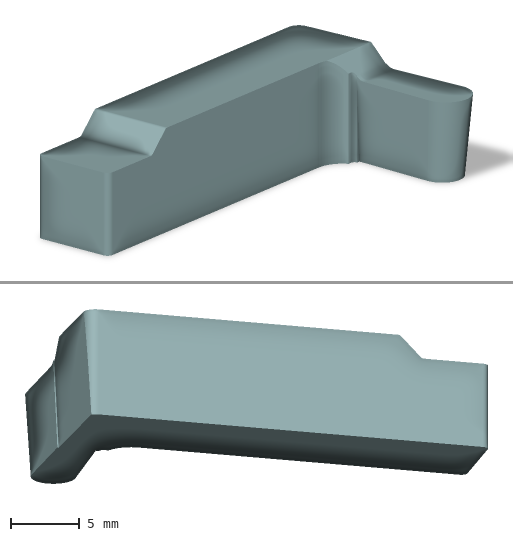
import cadquery as cq
import math

height = 8.05
shank_width = 6.6
front_corner_radius = 0.45
back_corner_radius = 0.93
back_left_y = 30.35
back_right_y = 30.68

low_height = 6.4
drop = height - low_height
step_corner_y = 5.07
step_blend_radius = 0.35
neck_ramp_start_x = 6.75
neck_blend_radius = 0.93

neck_end_x = neck_ramp_start_x + drop
neck_front_y = 27.22
neck_corner_x = 7.82
neck_corner_radius = 0.3
blade_root_x = neck_corner_x + neck_corner_radius
gusset_start_y = 24.65
gusset_end_y = 26.6
gusset_radius = 2.15

blade_end_x = 17.0
blade_back_y = 30.9
blade_front_y = 26.98
blade_radius = (blade_back_y - blade_front_y) / 2
blade_center_y = (blade_back_y + blade_front_y) / 2
side_angle = math.radians(1.8)
blend_stock = 0.3
blade_inner_overlap = 0.62
side_draft = math.radians(2.8)
end_draft = math.radians(6)
side_inset = low_height * math.tan(side_draft)
end_inset = low_height * math.tan(end_draft)
margin = 3.1


def make_body():
    """Shank and neck outline, full height, with rounded upright corners."""
    outline = (
        cq.Workplane("XY")
        .lineTo(shank_width, 0)
        .lineTo(shank_width, gusset_start_y)
        .radiusArc((neck_corner_x, gusset_end_y), gusset_radius)
        .lineTo(neck_corner_x, neck_front_y - neck_corner_radius)
        .radiusArc((blade_root_x, neck_front_y), neck_corner_radius)
        .lineTo(blade_root_x, neck_front_y + blade_inner_overlap)
        .lineTo(neck_end_x, neck_front_y + blade_inner_overlap)
        .lineTo(neck_end_x, back_right_y)
        .lineTo(0, back_left_y)
        .close()
    )
    body = outline.extrude(height)
    body = body.edges("|Z and <Y").fillet(front_corner_radius)
    return body.edges(cq.selectors.NearestToPointSelector((0, back_left_y, height / 2))).fillet(
        back_corner_radius
    )


def make_back_draft_cut():
    """Wedge behind the drafted back face of the shank and neck."""
    inset = height * math.tan(side_draft)
    slope = (back_right_y - back_left_y) / neck_end_x
    left_x = -margin
    right_x = neck_end_x + margin
    left_y = back_left_y + slope * left_x
    right_y = back_left_y + slope * right_x
    far_y = blade_back_y + margin
    return (
        cq.Workplane("XY")
        .polyline([(left_x, left_y - inset), (right_x, right_y - inset), (right_x, far_y), (left_x, far_y)])
        .close()
        .workplane(offset=height)
        .polyline([(left_x, left_y), (right_x, right_y), (right_x, far_y), (left_x, far_y)])
        .close()
        .loft(ruled=True)
    )


def make_step_cut():
    """Space above the low front step and its blended ramp."""
    ramp_top_y = step_corner_y + drop
    cut = (
        cq.Workplane("YZ")
        .polyline(
            [
                (-margin, low_height),
                (step_corner_y, low_height),
                (ramp_top_y, height),
                (ramp_top_y, height + margin),
                (-margin, height + margin),
            ]
        )
        .close()
        .extrude(shank_width + margin)
        .translate((-margin / 2, 0, 0))
    )
    corner = cq.selectors.NearestToPointSelector((shank_width / 2, step_corner_y, low_height))
    return cut.edges(corner).fillet(step_blend_radius)


def make_neck_cut():
    """Space above the blade and the blended ramp on the neck."""
    cut = (
        cq.Workplane("XZ")
        .polyline(
            [
                (neck_ramp_start_x, height),
                (neck_end_x, low_height),
                (blade_end_x + margin, low_height),
                (blade_end_x + margin, height + margin),
                (neck_ramp_start_x, height + margin),
            ]
        )
        .close()
        .extrude(-(blade_back_y + margin))
    )
    mid_y = (blade_back_y + margin) / 2
    corner = cq.selectors.NearestToPointSelector((neck_end_x, mid_y, low_height))
    return cut.edges(corner).fillet(neck_blend_radius)


def draw_blade(plane, radius, end_x):
    """Blade outline: straight widening sides running tangent into a round end."""
    center_x = end_x - radius
    tangent_x = center_x - radius * math.sin(side_angle)
    tangent_half_width = radius * math.cos(side_angle)
    root_half_width = tangent_half_width - (tangent_x - blade_root_x) * math.tan(side_angle)
    return (
        plane.moveTo(blade_root_x, blade_center_y - root_half_width)
        .lineTo(tangent_x, blade_center_y - tangent_half_width)
        .threePointArc((end_x, blade_center_y), (tangent_x, blade_center_y + tangent_half_width))
        .lineTo(blade_root_x, blade_center_y + root_half_width)
        .close()
    )


def make_blade():
    """Drafted blade with a straight top layer that leaves stock for the neck blend."""
    base = draw_blade(cq.Workplane("XY"), blade_radius - side_inset, blade_end_x - end_inset)
    top_plane = base.workplane(offset=low_height)
    lower = draw_blade(top_plane, blade_radius, blade_end_x).loft(ruled=True)
    upper = draw_blade(cq.Workplane("XY", origin=(0, 0, low_height)), blade_radius, blade_end_x)
    upper = upper.extrude(blend_stock)
    return lower.union(upper)


body = make_body().cut(make_back_draft_cut()).cut(make_step_cut())

crest = cq.selectors.NearestToPointSelector((shank_width / 2, step_corner_y + drop, height))
body = body.edges(crest).fillet(step_blend_radius)

result = body.union(make_blade()).cut(make_neck_cut())